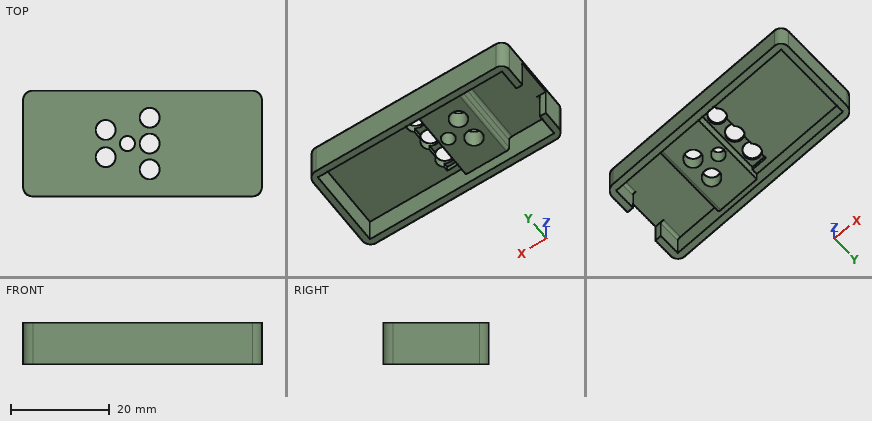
import cadquery as cq

length = 48.5
width = 21.5
height = 8.5
corner_radius = 2.0
wall = 1.5
roof = 0.85
ceiling_z = height - roof
inner_length = length - 2 * wall
inner_width = width - 2 * wall
inner_end = inner_length / 2

block_bottom_z = 3.45
block_start_x = -11.65
block_end_x = -0.95
pocket_end_x = 2.7
pocket_width = 15.8
thick_roof_z = 6.25
edge_radius = 0.75

notch_width = 8.35

large_diameter = 4.0
small_diameter = 3.0
pair_x = -7.45
pair_spacing = 5.55
small_x = -3.05
row_x = 1.45
row_spacing = 5.25


def box_between(start_x, end_x, size_y, bottom_z, top_z):
    """Box centred on Y = 0 between the given X and Z limits."""
    return (
        cq.Workplane("XY", origin=((start_x + end_x) / 2, 0, bottom_z))
        .box(end_x - start_x, size_y, top_z - bottom_z, centered=(True, True, False))
    )


def make_shell():
    """Rounded box, hollowed from below."""
    body = cq.Workplane("XY").box(length, width, height, centered=(True, True, False))
    body = body.edges("|Z").fillet(corner_radius)
    lower_cavity = box_between(-inner_end, inner_end, inner_width, 0, block_bottom_z)
    thick_roof_cavity = box_between(block_end_x, inner_end, inner_width, 0, thick_roof_z)
    pocket = box_between(block_end_x, pocket_end_x, pocket_width, 0, ceiling_z)
    front_bay = box_between(-inner_end, block_start_x, inner_width, 0, ceiling_z)
    front_bay = front_bay.faces(">Z").edges("|Y").fillet(edge_radius)
    return body.cut(lower_cavity).cut(thick_roof_cavity).cut(pocket).cut(front_bay)


def round_block_edge(body):
    """Round the lower edge of the hole block that faces the front bay."""
    edge = cq.selectors.NearestToPointSelector((block_start_x, 0, block_bottom_z))
    return body.edges(edge).fillet(edge_radius)


def cut_notch(body):
    """Open the -X end wall from the bottom up to the ceiling."""
    return body.cut(box_between(-length / 2, -inner_end + edge_radius, notch_width, 0, ceiling_z))


def cut_holes(body, diameter, points):
    """Drill vertical holes from top to bottom."""
    return body.cut(cq.Workplane("XY").pushPoints(points).circle(diameter / 2).extrude(height))


result = round_block_edge(make_shell())
result = cut_notch(result)
result = cut_holes(result, large_diameter, [(pair_x, side * pair_spacing / 2) for side in (-1, 1)])
result = cut_holes(result, large_diameter, [(row_x, step * row_spacing) for step in (-1, 0, 1)])
result = cut_holes(result, small_diameter, [(small_x, 0)])